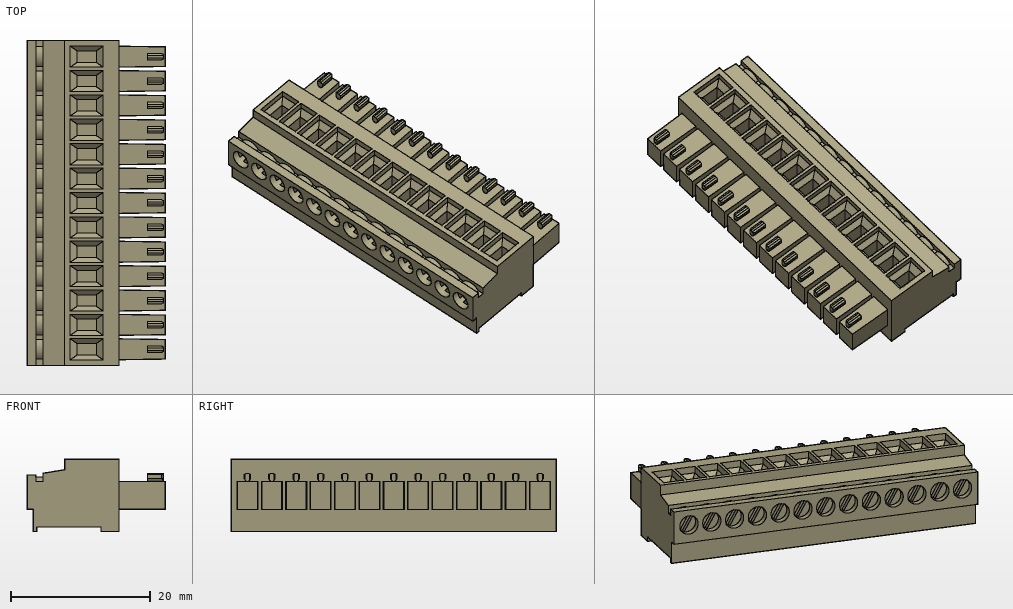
import cadquery as cq


pole_count = 13
pole_pitch = 3.5
block_length = 46.6

body_depth = 13.2
body_height = 10.4
lip_height = 8.15
lip_bottom = 3.2
lip_overhang = 0.85
groove_start = 1.25
groove_end = 2.25
groove_floor = 7.22
ramp_low = 8.4
ramp_high = 8.9
top_start = 5.35
foot_height = 0.65
front_foot_end = 1.4
rear_foot_start = 10.6

screw_z = 5.85
screw_diameter = 2.8
recess_depth = 1.03
slot_width = 0.75
slot_depth = 0.7
slot_angle = 60.0

hump_width = 2.85
hump_height = 0.65

entry_center_x = 8.55
mouth_size_x = 4.7
mouth_size_y = 3.05
throat_size_x = 2.75
throat_size_y = 1.65
mouth_depth = 1.0
taper_depth = 0.65
entry_depth = 4.65

total_depth = 19.8
prong_top = groove_floor
prong_bottom = lip_bottom
prong_root_width = 3.05
prong_tip_width = 2.85

key_start = 17.25
key_end = 19.55
key_width = 0.95
key_flat_width = 0.33
key_height = 1.1
key_bevel_height = 0.15
key_bevel_width = 0.6
key_side_bottom = 0.4
key_side_top = 1.0
key_tip_length = 0.3
key_tip_inset = 0.15

pole_positions = [(i - (pole_count - 1) / 2) * pole_pitch for i in range(pole_count)]


def make_housing():
    """Constant stepped profile with two feet, extruded along the row."""
    profile = [
        (lip_overhang, 0),
        (front_foot_end, 0),
        (front_foot_end, foot_height),
        (rear_foot_start, foot_height),
        (rear_foot_start, 0),
        (body_depth, 0),
        (body_depth, body_height),
        (top_start, body_height),
        (top_start, ramp_high),
        (groove_end, ramp_low),
        (groove_end, groove_floor),
        (groove_start, groove_floor),
        (groove_start, lip_height),
        (0, lip_height),
        (0, lip_bottom),
        (lip_overhang, lip_bottom),
    ]
    return cq.Workplane("XZ").polyline(profile).close().extrude(block_length / 2, both=True)


def make_hump():
    """Shallow cylindrical screw hump filling the width of the groove."""
    return (
        cq.Workplane("YZ", origin=(groove_start, 0, groove_floor))
        .moveTo(-hump_width / 2, 0)
        .threePointArc((0, hump_height), (hump_width / 2, 0))
        .close()
        .extrude(groove_end - groove_start)
    )


def make_screw_recess():
    """Round recess with a tilted driver slot in its floor."""
    screw_plane = cq.Workplane("YZ", origin=(0, 0, screw_z))
    full_depth = recess_depth + slot_depth
    recess = screw_plane.circle(screw_diameter / 2).extrude(recess_depth)
    slot = (
        screw_plane.transformed(rotate=(0, 0, 180 - slot_angle))
        .rect(screw_diameter, slot_width)
        .extrude(full_depth)
    )
    slot_limit = screw_plane.circle(screw_diameter / 2).extrude(full_depth)
    return recess.union(slot.intersect(slot_limit))


def make_wire_entry():
    """Straight mouth, tapered funnel and straight throat."""
    top = cq.Workplane("XY", origin=(entry_center_x, 0, body_height))
    mouth = top.rect(mouth_size_x, mouth_size_y).extrude(-mouth_depth)
    funnel = (
        top.workplane(offset=-mouth_depth)
        .rect(mouth_size_x, mouth_size_y)
        .workplane(offset=-taper_depth)
        .rect(throat_size_x, throat_size_y)
        .loft()
    )
    throat = top.rect(throat_size_x, throat_size_y).extrude(-entry_depth)
    return mouth.union(funnel).union(throat)


def make_prong():
    """Prong that narrows slightly towards its tip."""
    outline = [
        (body_depth, -prong_root_width / 2),
        (total_depth, -prong_tip_width / 2),
        (total_depth, prong_tip_width / 2),
        (body_depth, prong_root_width / 2),
    ]
    return (
        cq.Workplane("XY", origin=(0, 0, prong_bottom))
        .polyline(outline)
        .close()
        .extrude(prong_top - prong_bottom)
    )


def make_key():
    """Ten-sided bar, tapering down to the prong, with its outer end narrowed."""
    half_width = key_width / 2
    half_flat = key_flat_width / 2
    half_bevel = key_bevel_width / 2
    half_tip = half_width - key_tip_inset
    section = [
        (-half_flat, 0),
        (half_flat, 0),
        (half_bevel, key_bevel_height),
        (half_width, key_side_bottom),
        (half_width, key_side_top),
        (half_flat, key_height),
        (-half_flat, key_height),
        (-half_width, key_side_top),
        (-half_width, key_side_bottom),
        (-half_bevel, key_bevel_height),
    ]
    bar = (
        cq.Workplane("YZ", origin=(key_start, 0, prong_top))
        .polyline(section)
        .close()
        .extrude(key_end - key_start)
    )
    plan = [
        (key_start, -half_width),
        (key_end - key_tip_length, -half_width),
        (key_end, -half_tip),
        (key_end, half_tip),
        (key_end - key_tip_length, half_width),
        (key_start, half_width),
    ]
    envelope = cq.Workplane("XY", origin=(0, 0, prong_top)).polyline(plan).close().extrude(key_height)
    return bar.intersect(envelope)


hump = make_hump()
contact = make_prong().union(make_key())
screw_recess = make_screw_recess()
wire_entry = make_wire_entry()

result = make_housing()
for pole_y in pole_positions:
    offset = (0, pole_y, 0)
    result = result.union(hump.translate(offset)).union(contact.translate(offset))
    result = result.cut(screw_recess.translate(offset)).cut(wire_entry.translate(offset))